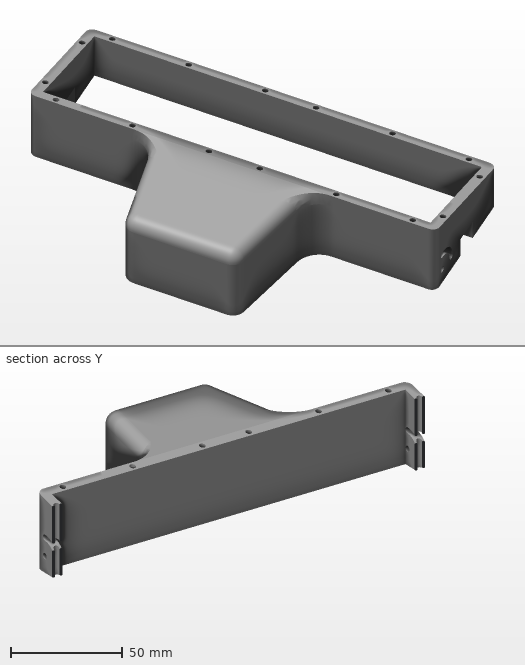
import cadquery as cq
import math

frame_length = 203.28
frame_depth = 63.4
frame_height = 38.2
wall = 5.08
corner_radius = 3.81
top_slope = math.radians(13)

overall_depth = 117.23
neck_length = overall_depth - frame_depth
neck_tip_half_width = 28.45
neck_side_angle = math.radians(11.3)
neck_edge_radius = 6.35
flare_radius = 12.7
seam_margin = 0.1

screw_diameter = 3.0
screw_inset = wall / 2
screw_pitch = 38.1
first_screw_x = 12.7
screws_per_half = 3

notch_width = 12.4
notch_height = 10.5
notch_from_back = 25.2
pivot_diameter = 3.0
pivot_from_back = 56.7
pivot_height = 8.2
guide_radius = 9.2
guide_width = 3.0


def make_frame():
    back_height = frame_height - frame_depth * math.tan(top_slope)
    side_profile = [(0, 0), (frame_depth, 0), (frame_depth, back_height), (0, frame_height)]
    wedge = cq.Workplane("YZ").polyline(side_profile).close().extrude(frame_length / 2, both=True)
    wedge = wedge.edges("|Z").fillet(corner_radius)
    opening = (
        cq.Workplane("XY")
        .center(0, frame_depth / 2)
        .rect(frame_length - 2 * wall, frame_depth - 2 * wall)
        .extrude(frame_height)
    )
    return wedge.cut(opening)


def make_neck():
    root_half_width = neck_tip_half_width + neck_length * math.tan(neck_side_angle)
    outline = [
        (-root_half_width, 0),
        (-neck_tip_half_width, -neck_length),
        (neck_tip_half_width, -neck_length),
        (root_half_width, 0),
    ]
    block = cq.Workplane("XY").polyline(outline).close().extrude(frame_height)

    block = block.edges("|Z and <Y").fillet(neck_edge_radius)
    block = block.faces(">Z").edges("not >Y").fillet(neck_edge_radius)

    backing_height = frame_height + 2 * flare_radius
    backing = cq.Workplane("XY").box(frame_length, wall, backing_height, centered=(True, False, False))
    joined = block.union(backing)
    seam = cq.selectors.BoxSelector(
        (-root_half_width - seam_margin, -seam_margin, seam_margin),
        (root_half_width + seam_margin, seam_margin, frame_height + seam_margin),
    )
    joined = joined.edges(seam).fillet(flare_radius)

    front_space = (
        cq.Workplane("XY")
        .box(frame_length, neck_length, frame_height, centered=(True, False, False))
        .translate((0, -neck_length, 0))
    )
    return joined.intersect(front_space)


def make_screw_holes():
    edge_x = frame_length / 2 - screw_inset
    middle_y = frame_depth / 2
    points = []
    for side in (-1, 1):
        for index in range(screws_per_half):
            x = side * (first_screw_x + index * screw_pitch)
            points.append((x, screw_inset))
            points.append((x, frame_depth - screw_inset))
        points.append((side * edge_x, middle_y - screw_pitch / 2))
        points.append((side * edge_x, middle_y + screw_pitch / 2))
    return cq.Workplane("XY").pushPoints(points).circle(screw_diameter / 2).extrude(frame_height)


def through_ends(sketch):
    """Extrude a closed YZ outline through both end walls."""
    return sketch.extrude(frame_length / 2, both=True)


def make_notches():
    notch_y = frame_depth - notch_from_back - notch_width / 2
    return through_ends(
        cq.Workplane("YZ").center(notch_y, notch_height / 2).rect(notch_width, notch_height)
    )


def make_pivots():
    pivot_y = frame_depth - pivot_from_back
    return through_ends(
        cq.Workplane("YZ").center(pivot_y, pivot_height).circle(pivot_diameter / 2)
    )


def make_guide_slots():
    """Quarter-circle slots around the pivot, from straight behind it to straight above it."""
    inner = guide_radius - guide_width / 2
    outer = guide_radius + guide_width / 2
    diagonal = math.cos(math.pi / 4)
    return through_ends(
        cq.Workplane("YZ")
        .center(frame_depth - pivot_from_back, pivot_height)
        .moveTo(outer, 0)
        .threePointArc((outer * diagonal, outer * diagonal), (0, outer))
        .threePointArc((-guide_width / 2, guide_radius), (0, inner))
        .threePointArc((inner * diagonal, inner * diagonal), (inner, 0))
        .threePointArc((guide_radius, -guide_width / 2), (outer, 0))
        .close()
    )


result = (
    make_frame()
    .cut(make_screw_holes())
    .cut(make_notches())
    .cut(make_pivots())
    .cut(make_guide_slots())
    .union(make_neck())
)